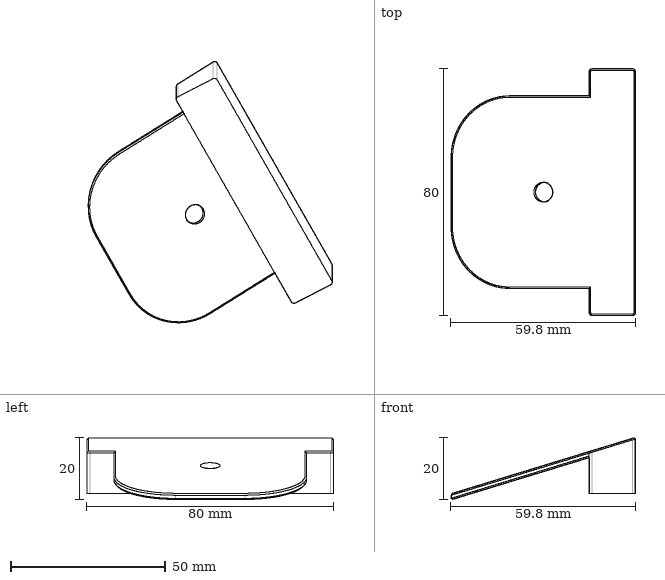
import math

import cadquery as cq

SLOPE_ANGLE = 17.0
SLOPE_LENGTH = 62.5
PLATE_WIDTH = 62.5
PLATE_THICKNESS = 2.0
PLATE_CORNER_RADIUS = 20.0
BLOCK_LENGTH = 15.0
BLOCK_WIDTH = 80.0
BLOCK_CORNER_RADIUS = 1.0
EDGE_CHAMFER = 0.5
HOLE_DIAMETER = 6.35

SLOPE = math.radians(SLOPE_ANGLE)
TOTAL_LENGTH = SLOPE_LENGTH * math.cos(SLOPE)
TOTAL_HEIGHT = SLOPE_LENGTH * math.sin(SLOPE)
BLOCK_START = TOTAL_LENGTH - BLOCK_LENGTH
BLOCK_START_HEIGHT = BLOCK_START * math.tan(SLOPE)

TOP_PLANE = cq.Plane(
    origin=(0, 0, 0),
    xDir=(math.cos(SLOPE), 0, math.sin(SLOPE)),
    normal=(-math.sin(SLOPE), 0, math.cos(SLOPE)),
)


def make_plate():
    """Sloping plate with two rounded low corners, vertical walls and a chamfered underside."""
    half_width = PLATE_WIDTH / 2
    radius = PLATE_CORNER_RADIUS
    arc_middle = radius * (1 - math.sqrt(0.5))
    outline = (
        cq.Workplane(TOP_PLANE)
        .moveTo(SLOPE_LENGTH, -half_width)
        .lineTo(radius, -half_width)
        .threePointArc((arc_middle, -half_width + arc_middle), (0, -half_width + radius))
        .lineTo(0, half_width - radius)
        .threePointArc((arc_middle, half_width - arc_middle), (radius, half_width))
        .lineTo(SLOPE_LENGTH, half_width)
        .close()
        .val()
    )
    drop = cq.Vector(0, 0, -PLATE_THICKNESS)
    plate = cq.Workplane(cq.Solid.extrudeLinear(outline, [], drop))
    underside = plate.faces(cq.selectors.DirectionMinMaxSelector(TOP_PLANE.zDir, False))
    return underside.edges().chamfer(EDGE_CHAMFER)


def make_block():
    """Foot block under the high end, with a sloping top and rounded vertical corners."""
    return (
        cq.Workplane("XZ")
        .moveTo(BLOCK_START, 0)
        .lineTo(TOTAL_LENGTH, 0)
        .lineTo(TOTAL_LENGTH, TOTAL_HEIGHT)
        .lineTo(BLOCK_START, BLOCK_START_HEIGHT)
        .close()
        .extrude(BLOCK_WIDTH / 2, both=True)
        .edges("|Z")
        .fillet(BLOCK_CORNER_RADIUS)
    )


def chamfer_top(body):
    """Bevel the whole outline of the sloping top face."""
    top_face = body.faces(cq.selectors.DirectionMinMaxSelector(TOP_PLANE.zDir, True))
    return top_face.edges().chamfer(EDGE_CHAMFER)


def make_hole():
    """Through hole square to the slope, centred on the length of the top face."""
    return (
        cq.Workplane(TOP_PLANE)
        .center(SLOPE_LENGTH / 2, 0)
        .circle(HOLE_DIAMETER / 2)
        .extrude(PLATE_THICKNESS, both=True)
    )


body = make_plate().union(make_block()).clean()
result = chamfer_top(body).cut(make_hole())